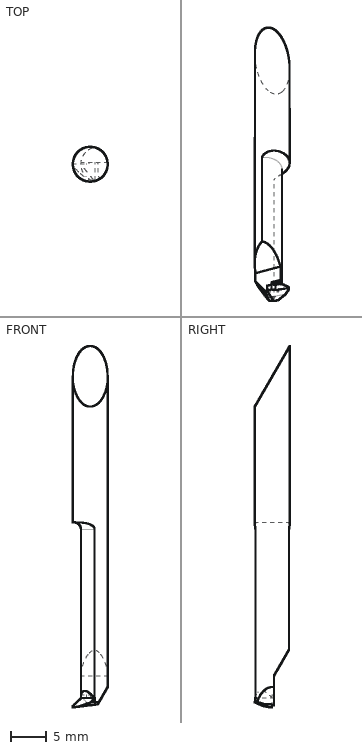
import cadquery as cq
import math

LENGTH = 51.6
BAR_DIAMETER = 5.0
BAR_RADIUS = BAR_DIAMETER / 2
BEVEL_ANGLE = math.radians(30)
OVERSIZE = 2 * LENGTH

NECK_RADIUS = 2.5
NECK_LEFT = -1.35
NECK_CENTER = NECK_LEFT + NECK_RADIUS
SHOULDER_Z = 26.4
SHOULDER_FILLET = 1.0

FLAT_Y = 0.25
FLAT_TOP_Z = 4.55
BACK_BEVEL_Z = 2.95

TIP_TOP_Z = 1.35
TIP_RIGHT = 0.65
CORNER = (-BAR_RADIUS, 0, 0.2)
FLANK_TOP = (NECK_LEFT, 0, TIP_TOP_Z)
RIDGE_TOP = (-0.95, -0.5, TIP_TOP_Z)
RIDGE_END = (-0.45, -1.95, 0.65)
HEEL = (0.55, -2.35, TIP_TOP_Z)
UNDERCUT_PEAK = (-0.9, -1.4, 2.3)
BOTTOM_RISE_X = 0.13
EDGE_RISE_Y = 0.05
HEEL_RISE_Y = 0.27
HEEL_START_Y = -1.2

POCKET_TOP_Z = 1.8
POCKET_FLOOR_RIGHT = -0.5
POCKET_RIGHT = 0.0


def half_space(point, normal):
    """Large block on the side of a plane that its normal points to."""
    plane = cq.Plane(origin=point, normal=normal)
    return cq.Workplane(plane).rect(OVERSIZE, OVERSIZE).extrude(OVERSIZE)


def half_space_through(first, second, third, outward):
    """Half-space through three points, on the side that outward points to."""
    origin = cq.Vector(*first)
    normal = (cq.Vector(*second) - origin).cross(cq.Vector(*third) - origin)
    if normal.dot(cq.Vector(*outward)) < 0:
        normal = normal * -1
    return half_space(first, normal.toTuple())


def box_between(low, high):
    size = [b - a for a, b in zip(low, high)]
    return cq.Workplane("XY").box(*size, centered=False).translate(low)


def round_bar():
    """Bar with its upper end cut obliquely."""
    bar = cq.Workplane("XY").circle(BAR_RADIUS).extrude(LENGTH)
    normal = (0, -math.cos(BEVEL_ANGLE), math.sin(BEVEL_ANGLE))
    return bar.cut(half_space((0, BAR_RADIUS, LENGTH), normal))


def neck_relief():
    """Space outside the neck, with a fillet up to the shoulder."""
    outer = NECK_RADIUS + BAR_DIAMETER
    tangent = NECK_RADIUS + SHOULDER_FILLET
    return (
        cq.Workplane("XZ")
        .moveTo(NECK_RADIUS, 0)
        .lineTo(NECK_RADIUS, SHOULDER_Z - SHOULDER_FILLET)
        .radiusArc((tangent, SHOULDER_Z), SHOULDER_FILLET)
        .lineTo(outer, SHOULDER_Z)
        .lineTo(outer, 0)
        .close()
        .revolve(360, (0, 0, 0), (0, 1, 0))
        .translate((NECK_CENTER, 0, 0))
    )


def flat_relief():
    """Half-bar flat on the +Y side, with a sloping run-out."""
    depth = BAR_DIAMETER
    run_out = depth / math.tan(BEVEL_ANGLE)
    return (
        cq.Workplane("YZ")
        .polyline([
            (FLAT_Y, 0),
            (FLAT_Y, FLAT_TOP_Z),
            (FLAT_Y + depth, FLAT_TOP_Z + run_out),
            (FLAT_Y + depth, 0),
        ])
        .close()
        .extrude(BAR_DIAMETER, both=True)
    )


def chip_pocket():
    """Shallow pocket with a ramp on its +X side."""
    return (
        cq.Workplane("XY")
        .polyline([
            (-BAR_DIAMETER, 0),
            (POCKET_FLOOR_RIGHT, 0),
            (POCKET_RIGHT, FLAT_Y),
            (-BAR_DIAMETER, FLAT_Y),
        ])
        .close()
        .extrude(POCKET_TOP_Z)
    )


def underside():
    """Space below the two sloping facets of the end face."""
    edge_facet = half_space((-BAR_RADIUS, 0, 0), (BOTTOM_RISE_X, -EDGE_RISE_Y, -1))
    heel_start = (-BAR_RADIUS, HEEL_START_Y, -HEEL_START_Y * EDGE_RISE_Y)
    heel_facet = half_space(heel_start, (BOTTOM_RISE_X, -HEEL_RISE_Y, -1))
    return edge_facet.union(heel_facet)


def make_shank():
    tip_seat = box_between(
        (-BAR_DIAMETER, -BAR_DIAMETER, 0), (TIP_RIGHT, BAR_DIAMETER, TIP_TOP_Z)
    )
    undercut = half_space_through(HEEL, RIDGE_TOP, UNDERCUT_PEAK, (-1, -1, -1)).intersect(
        box_between((-BAR_DIAMETER, -BAR_DIAMETER, 0), (TIP_RIGHT, 0, SHOULDER_Z))
    )
    back_normal = (math.cos(BEVEL_ANGLE), 0, -math.sin(BEVEL_ANGLE))
    back_bevel = half_space((BAR_RADIUS, 0, BACK_BEVEL_Z), back_normal)
    shank = round_bar().cut(neck_relief()).cut(flat_relief())
    return shank.cut(back_bevel).cut(undercut).cut(chip_pocket()).cut(tip_seat).cut(underside())


def make_cutting_tip():
    blank = box_between((-BAR_RADIUS, -BAR_RADIUS, 0), (TIP_RIGHT, FLAT_Y, TIP_TOP_Z))
    envelope = cq.Workplane("XY").circle(BAR_RADIUS).extrude(TIP_TOP_Z)
    front_flank = half_space_through(CORNER, FLANK_TOP, RIDGE_END, (-1, -1, 1))
    side_flank = half_space_through(HEEL, RIDGE_TOP, RIDGE_END, (-1, -1, 1))
    tip = blank.intersect(envelope).cut(front_flank).cut(side_flank)
    return tip.cut(chip_pocket()).cut(underside())


shank = make_shank()
cutting_tip = make_cutting_tip()
result = cq.Compound.makeCompound([shank.val(), cutting_tip.val()])